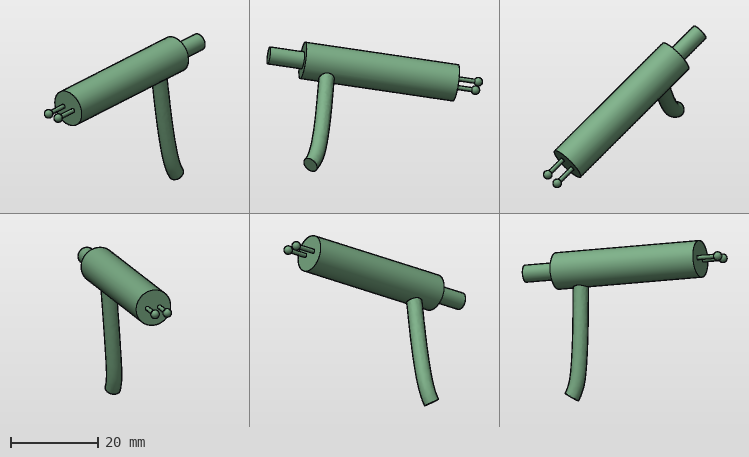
import cadquery as cq
import math

BODY_DIAMETER = 8.5
BODY_LENGTH = 36.0

SPIGOT_DIAMETER = 4.0
SPIGOT_LENGTH = 8.0

PIN_DIAMETER = 1.0
PIN_SPACING = 3.0
BALL_DIAMETER = 2.0
BALL_CENTRE_REACH = 5.0

CABLE_DIAMETER = 3.6
CABLE_REAR_SETBACK = 5.95
CABLE_KNEE_DROP = 22.0
CABLE_START_LEAN = 3.9
CABLE_SIDE_LEAN = 5.4
CABLE_END_DROP = 29.27
CABLE_END_REAR_OFFSET = 3.55
CABLE_END_SIDE_OFFSET = 2.62
CABLE_END_LEAN = 32.7


def rod(diameter, start_y, end_y, x=0.0):
    """Solid cylinder parallel to Y between two Y positions."""
    base = cq.Vector(x, start_y, 0)
    along_y = cq.Vector(0, 1, 0)
    return cq.Workplane(cq.Solid.makeCylinder(diameter / 2, end_y - start_y, base, along_y))


def ball_pin(x):
    """Pin standing out of the front face, with a ball at its tip."""
    stem = rod(PIN_DIAMETER, -BALL_CENTRE_REACH, 0, x)
    ball = cq.Workplane("XY").sphere(BALL_DIAMETER / 2).translate((x, -BALL_CENTRE_REACH, 0))
    return stem.union(ball)


def cable():
    """Cable swept along a smooth curve through its start, knee and end."""
    rear_slope = math.tan(math.radians(CABLE_START_LEAN))
    side_slope = math.tan(math.radians(CABLE_SIDE_LEAN))
    end_slope = math.tan(math.radians(CABLE_END_LEAN))

    start = cq.Vector(0, BODY_LENGTH - CABLE_REAR_SETBACK, 0)
    start_direction = cq.Vector(side_slope, rear_slope, -1)
    knee = start + start_direction * CABLE_KNEE_DROP
    end = start + cq.Vector(CABLE_END_SIDE_OFFSET, CABLE_END_REAR_OFFSET, -CABLE_END_DROP)
    end_direction = cq.Vector(0, end_slope, -1)

    path = cq.Workplane("XY").spline(
        [start, knee, end],
        tangents=[start_direction, None, end_direction],
    )
    start_plane = cq.Plane(origin=start, xDir=(0, 1, rear_slope), normal=start_direction)
    return cq.Workplane(start_plane).circle(CABLE_DIAMETER / 2).sweep(path)


result = rod(BODY_DIAMETER, 0, BODY_LENGTH)
result = result.union(rod(SPIGOT_DIAMETER, BODY_LENGTH, BODY_LENGTH + SPIGOT_LENGTH))
for side in (-1, 1):
    result = result.union(ball_pin(side * PIN_SPACING / 2))
result = result.union(cable())